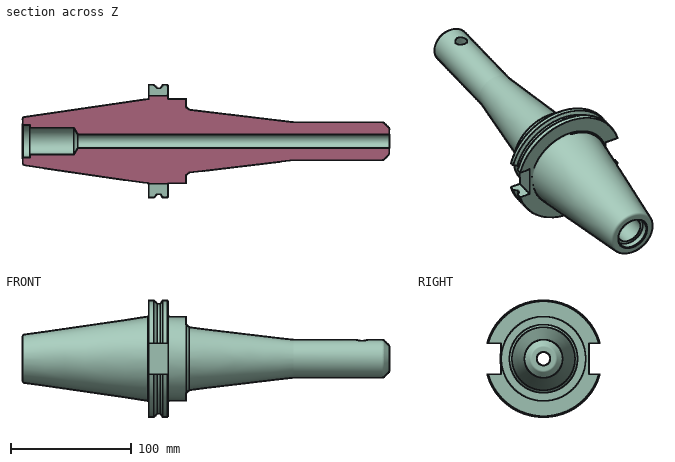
import cadquery as cq
import math

total_length = 304.8
taper_length = 102.5
flange_start = 105.0
flange_width = 16.2
flange_end = flange_start + flange_width
collar_end = 136.0
neck_start = 138.7
shank_start = 225.3

gauge_diameter = 69.8
taper_ratio = 7 / 24
small_end_diameter = gauge_diameter - taper_ratio * taper_length
flange_diameter = 97.2
collar_diameter = 70.0
root_diameter = 56.7
neck_diameter = 52.5
shank_diameter = 31.7

small_end_radius = 2.0
flange_chamfer = 1.0
tip_chamfer = 5.2
tip_edge_radius = 2.0
flange_root_radius = 1.0

groove_start = 109.0
groove_end = 116.5
groove_depth = 2.7
groove_left_slope = 2.7
groove_right_slope = 1.8

slot_width = 25.5
front_floor = 35.5
back_floor = 37.8

counterbore_diameter = 26.8
mouth_chamfer = 0.5
counterbore_depth = 6.0
thread_diameter = 22.0
thread_depth = 42.7
coolant_diameter = 11.0
drill_point_half_angle = 59

cross_hole_diameter = 10.0
cross_hole_x = 282.0


def revolve(profile_points):
    """Revolve an (x, radius) outline around the X axis."""
    return cq.Workplane("XY").polyline(profile_points).close().revolve(360, (0, 0, 0), (1, 0, 0))


def make_body():
    shank_radius = shank_diameter / 2
    body = revolve([
        (0, 0),
        (0, small_end_diameter / 2),
        (taper_length, gauge_diameter / 2),
        (flange_end, gauge_diameter / 2),
        (flange_end, collar_diameter / 2),
        (collar_end, collar_diameter / 2),
        (collar_end, root_diameter / 2),
        (neck_start, neck_diameter / 2),
        (shank_start, shank_radius),
        (total_length - tip_chamfer, shank_radius),
        (total_length, shank_radius - tip_chamfer),
        (total_length, 0),
    ])
    return body.faces("<X").edges().fillet(small_end_radius)


def round_tip_edges(body):
    """Round both rims of the chamfer at the end of the shank."""
    edge_x = total_length - tip_chamfer
    tip_box = cq.selectors.BoxSelector(
        (edge_x - tip_edge_radius, -shank_diameter, -shank_diameter),
        (total_length + tip_edge_radius, shank_diameter, shank_diameter),
        boundingbox=True,
    )
    return body.edges(tip_box).edges("%CIRCLE").fillet(tip_edge_radius)


def make_flange():
    outer_radius = flange_diameter / 2
    groove_radius = outer_radius - groove_depth
    flange = revolve([
        (flange_start, 0),
        (flange_start, outer_radius),
        (groove_start, outer_radius),
        (groove_start + groove_left_slope, groove_radius),
        (groove_end - groove_right_slope, groove_radius),
        (groove_end, outer_radius),
        (flange_end - flange_chamfer, outer_radius),
        (flange_end, outer_radius - flange_chamfer),
        (flange_end, 0),
    ])
    for side, floor in ((-1, front_floor), (1, back_floor)):
        depth = flange_diameter / 2 - floor
        slot = cq.Workplane("XY").box(flange_width, depth, slot_width)
        slot_center = (flange_start + flange_width / 2, side * (floor + depth / 2), 0)
        flange = flange.cut(slot.translate(slot_center))
    return flange


def make_root_fillet(flange_face, direction, inner_radius):
    """Ring with a concave face between a flange face and the round beside it."""
    outer_radius = inner_radius + flange_root_radius
    far_x = flange_face + direction * flange_root_radius
    arc_inset = flange_root_radius * (1 - math.sqrt(0.5))
    arc_middle = (flange_face + direction * arc_inset, inner_radius + arc_inset)
    return (
        cq.Workplane("XY")
        .moveTo(flange_face, 0)
        .lineTo(flange_face, outer_radius)
        .threePointArc(arc_middle, (far_x, inner_radius))
        .lineTo(far_x, 0)
        .close()
        .revolve(360, (0, 0, 0), (1, 0, 0))
    )


def make_bore():
    counterbore_radius = counterbore_diameter / 2
    thread_radius = thread_diameter / 2
    coolant_radius = coolant_diameter / 2
    point_length = (thread_radius - coolant_radius) / math.tan(math.radians(drill_point_half_angle))
    return revolve([
        (0, 0),
        (0, counterbore_radius + mouth_chamfer),
        (mouth_chamfer, counterbore_radius),
        (counterbore_depth, counterbore_radius),
        (counterbore_depth, thread_radius),
        (thread_depth, thread_radius),
        (thread_depth + point_length, coolant_radius),
        (total_length, coolant_radius),
        (total_length, 0),
    ])


def make_cross_hole():
    """Hole from the top of the shank down to the axial bore."""
    return (
        cq.Workplane("XY")
        .center(cross_hole_x, 0)
        .circle(cross_hole_diameter / 2)
        .extrude(shank_diameter)
    )


body = round_tip_edges(make_body()).union(make_flange())
body = body.union(make_root_fillet(flange_start, -1, gauge_diameter / 2))
body = body.union(make_root_fillet(flange_end, 1, collar_diameter / 2))
result = body.cut(make_bore()).cut(make_cross_hole())